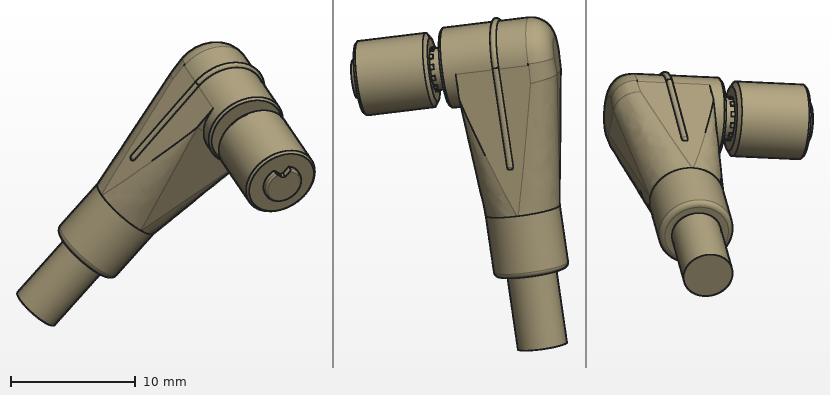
import cadquery as cq
import math

ARM_TILT = -45
OVERALL_HEIGHT = 21.35

HEAD_RADIUS = 3.25
HEAD_LEFT = -4.5
HEAD_RIGHT = 4.5
HEAD_ROUNDING = 1.85
HEAD_CHAMFER = 0.2

ARM_RIGHT = 3.29
TAPER_TOP_LEFT = 1.4
TAPER_TOP_RIGHT = 2.18
TAPER_TOP_HALF_WIDTH = 3.22
TAPER_ROUNDING = 2.1
TAPER_BOTTOM = 12.17
CORNER_ROUNDING = 0.05
RELIEF_RADIUS = 3.0
RELIEF_FLAT = 0.01
RELIEF_END = 17.2
RELIEF_FILLET = 0.43
CABLE_RADIUS = 4.0 / 2

BEAD_RADIUS = 0.25
BEAD_END = 8.11
BEAD_END_OFFSET = 3.1

CABLE_RIM_DROP = OVERALL_HEIGHT - HEAD_RADIUS - BEAD_RADIUS
CABLE_END = CABLE_RIM_DROP * math.sqrt(2) - CABLE_RADIUS

NECK_RADIUS = 3.4 / 2
TOOTH_COUNT = 12
TOOTH_RADIUS = 1.8
TOOTH_WIDTH = 0.38
TOOTH_LEFT = 5.2
NUT_RADIUS = 6.02 / 2
NUT_LEFT = 5.5
NUT_RIGHT = 11.5
NUT_BACK_CHAMFER_LENGTH = 0.3
NUT_BACK_CHAMFER_HEIGHT = 0.43
NUT_FRONT_CHAMFER = 0.2
INSERT_RADIUS = 3.15 / 2
INSERT_RIGHT = 12.0
INSERT_FILLET = 0.17
KEYWAY_TOP_WIDTH = 1.28
KEYWAY_FLOOR_WIDTH = 0.23


def x_cylinder(radius, left, right):
    """Solid cylinder on the X axis between two X positions."""
    return cq.Workplane("YZ").workplane(offset=left).circle(radius).extrude(right - left)


def z_cylinder(radius, depth):
    """Solid cylinder on the arm axis from the origin down to a depth."""
    return cq.Workplane("XY").circle(radius).extrude(-depth)


def rounded_outline(plane, left, right, half_width, left_radius, right_radius):
    """Closed outline whose left and right corner pairs have their own rounding."""
    left_diagonal = left_radius * (1 - math.sqrt(0.5))
    right_diagonal = right_radius * (1 - math.sqrt(0.5))
    return (
        cq.Workplane(plane)
        .moveTo(left + left_radius, -half_width)
        .lineTo(right - right_radius, -half_width)
        .threePointArc(
            (right - right_diagonal, -half_width + right_diagonal),
            (right, -half_width + right_radius),
        )
        .lineTo(right, half_width - right_radius)
        .threePointArc(
            (right - right_diagonal, half_width - right_diagonal),
            (right - right_radius, half_width),
        )
        .lineTo(left + left_radius, half_width)
        .threePointArc(
            (left + left_diagonal, half_width - left_diagonal),
            (left, half_width - left_radius),
        )
        .lineTo(left, -half_width + left_radius)
        .threePointArc(
            (left + left_diagonal, -half_width + left_diagonal),
            (left + left_radius, -half_width),
        )
        .close()
    )


def make_head():
    """Cylinder domed at its closed end; the arm takes the place of the dome's lower half."""
    head = (
        x_cylinder(HEAD_RADIUS, HEAD_LEFT, HEAD_RIGHT)
        .faces("<X").edges().fillet(HEAD_ROUNDING)
        .faces(">X").edges().chamfer(HEAD_CHAMFER)
    )
    lower_dome = cq.Workplane("XY").rect(2 * HEAD_ROUNDING, 2 * HEAD_RADIUS).extrude(-HEAD_RADIUS)
    return head.cut(lower_dome.translate((HEAD_LEFT, 0, 0)))


def make_tapered_arm():
    """Short shoulder and long taper, ruled between outlines, with two flat sloping faces."""
    run = ARM_RIGHT - HEAD_LEFT
    drop = TAPER_TOP_RIGHT - TAPER_TOP_LEFT
    slant = cq.Plane(
        origin=(HEAD_LEFT, 0, -TAPER_TOP_LEFT), xDir=(run, 0, -drop), normal=(drop, 0, run)
    )
    relief_corner = RELIEF_RADIUS - RELIEF_FLAT
    head_outline = rounded_outline(
        cq.Plane.XY(), HEAD_LEFT, ARM_RIGHT, HEAD_RADIUS, HEAD_ROUNDING, CORNER_ROUNDING
    )
    slanted_outline = rounded_outline(
        slant, 0, math.hypot(run, drop), TAPER_TOP_HALF_WIDTH, TAPER_ROUNDING, CORNER_ROUNDING
    )
    relief_outline = rounded_outline(
        cq.Plane(origin=(0, 0, -TAPER_BOTTOM)),
        -RELIEF_RADIUS, RELIEF_RADIUS, RELIEF_RADIUS, relief_corner, relief_corner,
    )
    outlines = [head_outline.val(), slanted_outline.val(), relief_outline.val()]
    arm = cq.Workplane(cq.Solid.makeLoft(outlines, True))
    between_flat_faces = (
        cq.Workplane("YZ")
        .polyline([
            (-HEAD_RADIUS, 0),
            (HEAD_RADIUS, 0),
            (RELIEF_RADIUS, -TAPER_BOTTOM),
            (-RELIEF_RADIUS, -TAPER_BOTTOM),
        ])
        .close()
        .extrude(-HEAD_LEFT, both=True)
    )
    return arm.intersect(between_flat_faces)


def make_relief_and_cable():
    relief = (
        cq.Workplane("XY").workplane(offset=-TAPER_BOTTOM)
        .circle(RELIEF_RADIUS).extrude(TAPER_BOTTOM - RELIEF_END)
        .faces("<Z").edges().fillet(RELIEF_FILLET)
    )
    return relief.union(z_cylinder(CABLE_RADIUS, CABLE_END))


def make_bead():
    """Half ring over the head with a straight, ball-ended leg on each arm face."""
    bead = (
        cq.Workplane("XY").center(0, HEAD_RADIUS).circle(BEAD_RADIUS)
        .revolve(180, (0, -HEAD_RADIUS, 0), (1, -HEAD_RADIUS, 0))
    )
    for side in (-1, 1):
        start = cq.Vector(0, side * HEAD_RADIUS, 0)
        end = cq.Vector(0, side * BEAD_END_OFFSET, -BEAD_END)
        leg = cq.Solid.makeCylinder(BEAD_RADIUS, (end - start).Length, start, end - start)
        tip = cq.Workplane("XY").sphere(BEAD_RADIUS).translate(end)
        bead = bead.union(cq.Workplane(leg)).union(tip)
    return bead


def make_teeth():
    teeth = cq.Workplane("XY")
    tooth = cq.Workplane("XY").box(
        NUT_LEFT - TOOTH_LEFT, TOOTH_WIDTH, TOOTH_RADIUS, centered=(False, True, False)
    ).translate((TOOTH_LEFT, 0, 0))
    for index in range(TOOTH_COUNT):
        teeth = teeth.add(tooth.rotate((0, 0, 0), (1, 0, 0), index * 360 / TOOTH_COUNT))
    return teeth.combine()


def make_nut():
    return (
        cq.Workplane("XY")
        .moveTo(NUT_LEFT, 0)
        .lineTo(NUT_LEFT, NUT_RADIUS - NUT_BACK_CHAMFER_HEIGHT)
        .lineTo(NUT_LEFT + NUT_BACK_CHAMFER_LENGTH, NUT_RADIUS)
        .lineTo(NUT_RIGHT - NUT_FRONT_CHAMFER, NUT_RADIUS)
        .lineTo(NUT_RIGHT, NUT_RADIUS - NUT_FRONT_CHAMFER)
        .lineTo(NUT_RIGHT, 0)
        .close()
        .revolve(360, (0, 0, 0), (1, 0, 0))
    )


def make_insert():
    """Insert tip with a 45 degree walled keyway on its top side."""
    insert = (
        x_cylinder(INSERT_RADIUS, NUT_RIGHT, INSERT_RIGHT)
        .faces(">X").edges().fillet(INSERT_FILLET)
    )
    half_top = KEYWAY_TOP_WIDTH / 2
    half_floor = KEYWAY_FLOOR_WIDTH / 2
    rim = math.sqrt(INSERT_RADIUS**2 - half_top**2)
    floor = rim - (half_top - half_floor)
    keyway = (
        cq.Workplane("YZ").workplane(offset=NUT_RIGHT)
        .polyline([
            (-half_floor, floor),
            (half_floor, floor),
            (half_top, rim),
            (half_top, INSERT_RADIUS),
            (-half_top, INSERT_RADIUS),
            (-half_top, rim),
        ])
        .close()
        .extrude(INSERT_RIGHT - NUT_RIGHT)
    )
    return insert.cut(keyway)


angled_body = (
    make_head()
    .union(make_tapered_arm())
    .union(make_relief_and_cable())
    .union(make_bead())
    .rotate((0, 0, 0), (1, 0, 0), ARM_TILT)
)

plug = (
    x_cylinder(NECK_RADIUS, HEAD_RIGHT, NUT_LEFT)
    .union(make_teeth())
    .union(make_nut())
    .union(make_insert())
)

result = angled_body.union(plug)